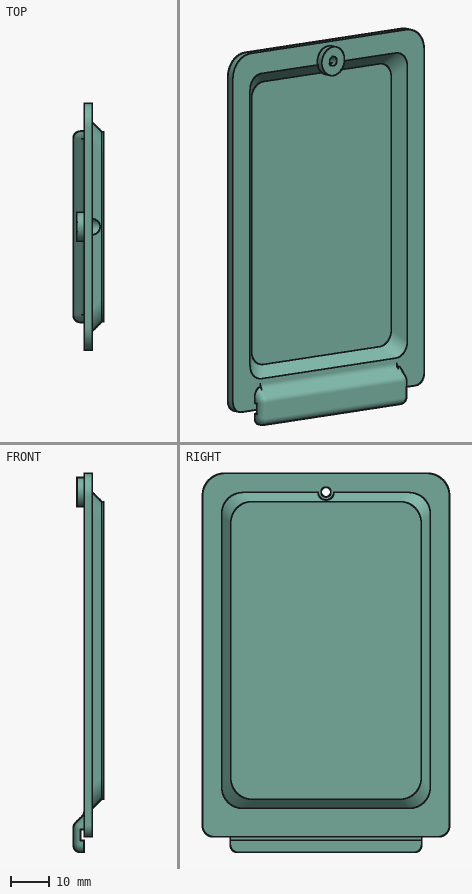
import cadquery as cq
import math

height = 99.0
width = 64.5
depth = 8.0
sheet = 2.2
plate_front = 2.9
plate_back = plate_front + sheet
plate_bottom = 4.1
top_corner_radius = 5.9
bottom_corner_radius = 3.0

margin = 5.7
opening_bottom = 12.2
opening_top = height - margin
opening_width = width - 2 * margin
opening_radius = 4.0
tray_depth = depth - plate_back
tray_lip = 0.6
outer_radius = 5.5
bend_growth = 0.7

screw_z = 94.05
boss_diameter = 7.6
boss_height = 1.9
screw_diameter = 2.5
head_diameter = 4.2

clip_width = 50.0
clip_wall = 2.0
clip_radius = 2.0
clip_shoulder = 7.1
slot_bottom = 3.2
slot_top = 5.9
clip_overlap = 1.2


def rounded_panel(x_offset, growth, radius):
    """Tray opening outline grown on every side, lying x_offset from its workplane."""
    bottom = opening_bottom - growth
    top = opening_top + growth
    return (
        cq.Sketch()
        .rect(opening_width + 2 * growth, top - bottom)
        .vertices()
        .fillet(radius)
        .moved(cq.Location(cq.Vector(0, (top + bottom) / 2, x_offset)))
    )


def sloped_tray(x, growth, radius, slope_depth):
    """Rounded frustum shrinking toward +X by slope_depth on each side."""
    wide = rounded_panel(0, growth, radius)
    narrow = rounded_panel(slope_depth, growth - slope_depth, radius)
    return cq.Workplane("YZ", origin=(x, 0, 0)).placeSketch(wide, narrow).loft(ruled=True)


def tray_body():
    slope = sloped_tray(plate_back, bend_growth, outer_radius, tray_depth - tray_lip)
    lip = slope.faces(">X").wires().toPending().workplane().extrude(tray_lip)
    return slope.union(lip)


def cylinder_x(x_start, x_end, diameter):
    return (
        cq.Workplane("YZ", origin=(x_start, 0, screw_z))
        .circle(diameter / 2)
        .extrude(x_end - x_start)
    )


def plate():
    blank = (
        cq.Workplane("XY")
        .box(sheet, width, height - plate_bottom, centered=(False, True, False))
        .translate((plate_front, 0, plate_bottom))
    )
    blank = blank.edges("|X and >Z").fillet(top_corner_radius)
    return blank.edges("|X and <Z").fillet(bottom_corner_radius)


def clip():
    back = plate_front + clip_overlap
    body = (
        cq.Workplane("XZ", origin=(0, clip_width / 2, 0))
        .polyline([(0, 0), (0, clip_shoulder), (back, clip_shoulder + back), (back, 0)])
        .close()
        .extrude(clip_width)
    )
    body = body.edges("not >X").fillet(clip_radius)
    below_plate = (
        cq.Workplane("XY")
        .box(clip_overlap, clip_width, slot_top, centered=(False, True, False))
        .translate((plate_front, 0, 0))
    )
    slot = (
        cq.Workplane("XY")
        .box(plate_front - clip_wall, clip_width, slot_top - slot_bottom, centered=(False, True, False))
        .translate((clip_wall, 0, slot_bottom))
    )
    return body.cut(below_plate).cut(slot)


def clip_root_fillet():
    """Concave blend between the clip slope and the plate front."""
    corner_z = clip_shoulder + plate_front
    tangent = clip_radius * math.tan(math.radians(22.5))
    along_slope = tangent * math.sqrt(0.5)
    arc_z = corner_z + tangent
    arc_x = plate_front - clip_radius
    mid = math.radians(-22.5)
    return (
        cq.Workplane("XZ", origin=(0, clip_width / 2 - clip_radius, 0))
        .moveTo(plate_front, arc_z)
        .threePointArc(
            (arc_x + clip_radius * math.cos(mid), arc_z + clip_radius * math.sin(mid)),
            (plate_front - along_slope, corner_z - along_slope),
        )
        .lineTo(plate_front, corner_z - along_slope)
        .close()
        .extrude(clip_width - 2 * clip_radius)
    )


result = (
    plate()
    .union(tray_body())
    .cut(sloped_tray(plate_front, 0, opening_radius, tray_depth))
    .union(cylinder_x(plate_front - boss_height, plate_front, boss_diameter))
    .cut(cylinder_x(0, plate_back, screw_diameter))
    .cut(cylinder_x(plate_back, depth, head_diameter))
    .union(clip())
    .union(clip_root_fillet())
)